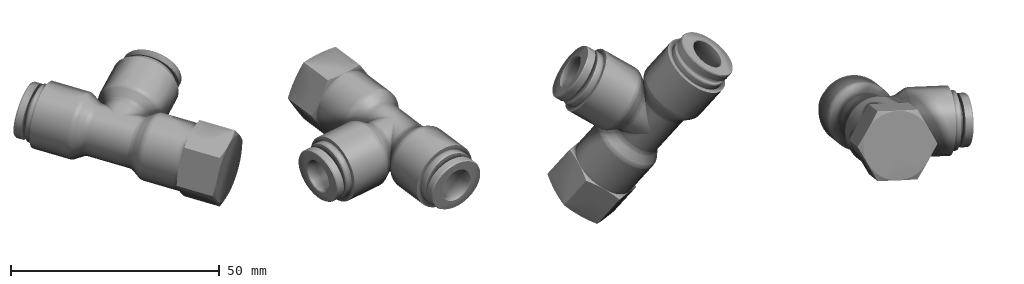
import cadquery as cq
import math

overall_length = 52.6
overall_width = 33.4
hex_across_flats = 17.0
hex_across_corners = hex_across_flats / math.cos(math.radians(30))

port_reach = overall_width - hex_across_corners / 2

flange_thickness = 2.0
neck_length = 0.9
ring_thickness = 1.7
collet_length = flange_thickness + neck_length
body_reach = port_reach - collet_length - ring_thickness
hex_length = overall_length - port_reach - body_reach

sleeve_diameter = 16.9
waist_diameter = 13.05
waist_end = 6.0
sleeve_start = 9.0
shoulder_fillet = 2.0

flange_width = 15.0
flange_height = 13.0
neck_diameter = 9.6
ring_diameter = 14.7
bore_diameter = 8.2
bore_mouth_diameter = 8.6
edge_bevel_length = 0.3
edge_bevel_depth = 0.15

hex_bevel_length = 0.4


def cylinder_along_x(diameter, x_start, length):
    """Solid cylinder on the X axis, running from x_start toward +X."""
    return cq.Workplane("YZ", origin=(x_start, 0, 0)).circle(diameter / 2).extrude(length)


def turned_along_x(profile):
    """Revolve a closed (x, radius) outline about the X axis."""
    return cq.Workplane("XY").polyline(profile).close().revolve(360, (0, 0, 0), (1, 0, 0))


def stay_on_run(body):
    """Leave a body on the -X port where it was built."""
    return body


def to_branch(body):
    """Turn a body on the -X port onto the +Y port."""
    return body.rotate((0, 0, 0), (0, 0, 1), -90)


def to_outlet(body):
    """Turn a body on the -X port onto the +X outlet."""
    return body.rotate((0, 0, 0), (0, 0, 1), 180)


def make_arm():
    """One arm of the tee, on -X: waist, blended conical shoulder and sleeve."""
    arm = turned_along_x([
        (0, 0),
        (0, waist_diameter / 2),
        (-waist_end, waist_diameter / 2),
        (-sleeve_start, sleeve_diameter / 2),
        (-body_reach, sleeve_diameter / 2),
        (-body_reach, 0),
    ])
    return arm.faces("%CONE").edges("%CIRCLE").fillet(shoulder_fillet)


def make_tee_body():
    """Three equal arms meeting at the origin, with a tube socket in both ports."""
    arm = make_arm()
    body = arm.union(to_outlet(arm)).union(to_branch(arm))
    socket = cylinder_along_x(bore_diameter, -body_reach, body_reach - sleeve_start)
    return body.cut(socket).cut(to_branch(socket))


def make_hex_end():
    """Hexagonal end piece with both ends turned to a bevel and corners along Y."""
    hexagon = (
        cq.Workplane("YZ", origin=(body_reach, 0, 0))
        .polygon(6, hex_across_corners)
        .extrude(hex_length)
    )
    x_end = body_reach + hex_length
    bevel_envelope = turned_along_x([
        (body_reach, 0),
        (body_reach, sleeve_diameter / 2),
        (body_reach + hex_bevel_length, hex_across_corners / 2),
        (x_end - hex_bevel_length, hex_across_corners / 2),
        (x_end, sleeve_diameter / 2),
        (x_end, 0),
    ])
    return hexagon.intersect(bevel_envelope)


def make_guide_ring():
    """Ring on the mouth of the -X sleeve, bevelled on its outer rim."""
    x_outer = -body_reach - ring_thickness
    return turned_along_x([
        (x_outer, bore_diameter / 2),
        (x_outer, ring_diameter / 2 - edge_bevel_depth),
        (x_outer + edge_bevel_length, ring_diameter / 2),
        (-body_reach, ring_diameter / 2),
        (-body_reach, bore_diameter / 2),
    ])


def make_collet():
    """Release collet of the -X port: oval flange on a round neck, bored for the tube."""
    flange = (
        cq.Workplane("YZ", origin=(-port_reach, 0, 0))
        .ellipse(flange_width / 2, flange_height / 2)
        .extrude(flange_thickness)
        .faces("<X")
        .edges()
        .chamfer(edge_bevel_length, edge_bevel_depth)
    )
    neck = cylinder_along_x(neck_diameter, -port_reach, collet_length)
    bore = cylinder_along_x(bore_diameter, -port_reach, collet_length)
    mouth_bevel = (bore_mouth_diameter - bore_diameter) / 2
    mouth = turned_along_x([
        (-port_reach, 0),
        (-port_reach, bore_mouth_diameter / 2),
        (-port_reach + mouth_bevel, bore_diameter / 2),
        (-port_reach + mouth_bevel, 0),
    ])
    return flange.union(neck).cut(bore).cut(mouth)


tee_body = make_tee_body()
hex_end = make_hex_end()

guide_rings = []
collets = []
for place_on_port in (stay_on_run, to_branch):
    guide_rings.append(place_on_port(make_guide_ring()).solids().val())
    collets.append(place_on_port(make_collet()).solids().val())

result = cq.Compound.makeCompound([
    tee_body.solids().val(),
    hex_end.solids().val(),
    *guide_rings,
    *collets,
])